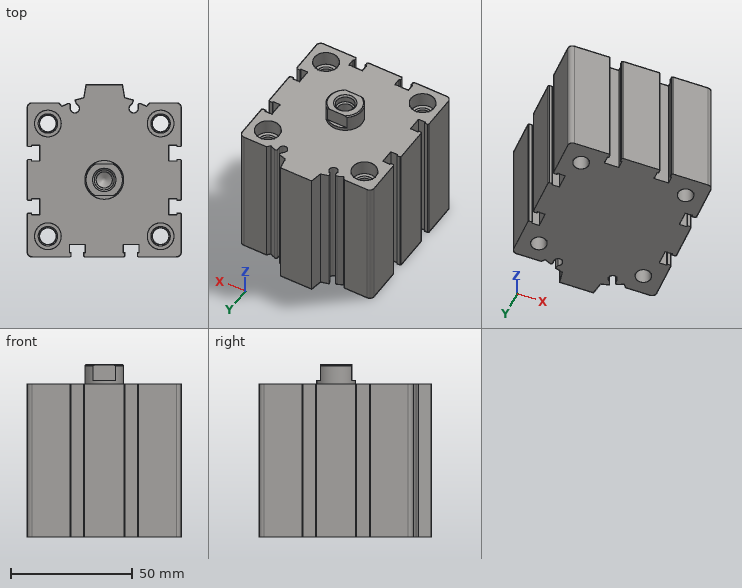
import cadquery as cq
import math

body_width = 63.5
body_height = 63.0
half_width = body_width / 2
corner_radius = 2.1

slot_offset = 11.05
slot_opening = 5.2
slot_inner_width = 6.4
slot_depth = 5.1
slot_lip = 1.8
slot_lip_chamfer = 0.4

rail_top_y = 39.25
rail_top_half_width = 7.5
rail_base_y = 33.85
rail_flank_angle = 10
shoulder_tip_x = 12.15
shoulder_angle = 15
shoulder_tip_radius = 0.4

groove_radius = 1.85
groove_x = 12.1
groove_y = 29.45
groove_flank_angle = 22
ridge_radius = 0.75
ridge_top_y = 31.5
ridge_angle = 24
notch_x = 17.5
notch_edge_x = 18.7

hole_offset = 23.2
hole_diameter = 6.8
hole_countersink_diameter = 8.0
counterbore_diameter = 11.0
counterbore_depth = 6.8

rod_diameter = 16.0
rod_projection = 8.0
rod_seat_depth = 20.0
rod_top = body_height + rod_projection
rod_bottom = body_height - rod_seat_depth
rod_chamfer = 0.5
flat_width = 13.0
flat_length = 6.5

rod_mouth_diameter = 9.6
rod_relief_diameter = 8.2
rod_relief_depth = 3.4
rod_thread_diameter = 6.65
rod_thread_depth = 13.0
drill_half_angle = 60


def tan_deg(angle):
    return math.tan(math.radians(angle))


def rail_section():
    """Rail and the solid strip under it, symmetric about X = 0."""
    base_x = rail_top_half_width + (rail_top_y - rail_base_y) * tan_deg(rail_flank_angle)
    tip_y = rail_base_y - (shoulder_tip_x - base_x) * tan_deg(shoulder_angle)
    root_x = shoulder_tip_x - (tip_y - groove_y) * tan_deg(groove_flank_angle)
    right_side = [
        (rail_top_half_width, rail_top_y),
        (base_x, rail_base_y),
        (shoulder_tip_x, tip_y),
        (root_x, groove_y),
    ]
    left_side = [(-x, y) for x, y in reversed(right_side)]
    rail = cq.Workplane("XY").polyline(right_side + left_side).close().extrude(body_height)
    margin = shoulder_tip_radius / 2
    tip_edges = cq.selectors.BoxSelector(
        (-shoulder_tip_x - margin, tip_y - margin, 0),
        (shoulder_tip_x + margin, tip_y + margin, body_height),
    )
    return rail.edges("|Z").edges(tip_edges).fillet(shoulder_tip_radius)


def rail_clearance(side):
    """Open space beside the rail on one side (+1 or -1): groove, rounded ridge and V-notch."""
    wall_x = groove_x + groove_radius
    ridge_x = wall_x + ridge_radius
    ridge_end_x = ridge_x + ridge_radius * math.sin(math.radians(ridge_angle))
    ridge_center_y = ridge_top_y - ridge_radius
    ridge_end_y = ridge_center_y + ridge_radius * math.cos(math.radians(ridge_angle))
    notch_y = ridge_end_y - (notch_x - ridge_end_x) * tan_deg(ridge_angle)
    return (
        cq.Workplane("XY")
        .moveTo(0, groove_y)
        .lineTo(side * wall_x, groove_y)
        .lineTo(side * wall_x, ridge_center_y)
        .threePointArc(
            (
                side * (ridge_x - ridge_radius * math.sqrt(0.5)),
                ridge_center_y + ridge_radius * math.sqrt(0.5),
            ),
            (side * ridge_end_x, ridge_end_y),
        )
        .lineTo(side * notch_x, notch_y)
        .lineTo(side * notch_edge_x, half_width)
        .lineTo(0, half_width)
        .close()
        .extrude(body_height)
    )


def t_slot():
    """Cutter for one T-slot opening toward -Y, centred on X = 0."""
    half_opening = slot_opening / 2
    half_inner = slot_inner_width / 2
    lip_y = slot_lip - half_width
    right_side = [
        (half_opening + slot_lip_chamfer, -half_width),
        (half_opening, slot_lip_chamfer - half_width),
        (half_opening, lip_y),
        (half_inner, lip_y),
        (half_inner, slot_depth - half_width),
    ]
    left_side = [(-x, y) for x, y in reversed(right_side)]
    return cq.Workplane("XY").polyline(right_side + left_side).close().extrude(body_height)


def mounting_hole():
    """Cutter for one counterbored through hole on the Z axis."""
    floor_z = body_height - counterbore_depth
    hole_radius = hole_diameter / 2
    sink_radius = hole_countersink_diameter / 2
    return (
        cq.Workplane("XZ")
        .lineTo(hole_radius, 0)
        .lineTo(hole_radius, floor_z - (sink_radius - hole_radius))
        .lineTo(sink_radius, floor_z)
        .lineTo(counterbore_diameter / 2, floor_z)
        .lineTo(counterbore_diameter / 2, body_height)
        .lineTo(0, body_height)
        .close()
        .revolve(360, (0, 0), (0, 1))
    )


def make_housing():
    housing = (
        cq.Workplane("XY")
        .rect(body_width, body_width)
        .extrude(body_height)
        .edges("|Z")
        .fillet(corner_radius)
    )
    for side in (-1, 1):
        housing = housing.cut(rail_clearance(side))
    housing = housing.union(rail_section())
    for side in (-1, 1):
        groove = cq.Workplane("XY").center(side * groove_x, groove_y).circle(groove_radius)
        housing = housing.cut(groove.extrude(body_height))
    for face_angle in (-90, 0, 90):
        for offset in (-slot_offset, slot_offset):
            slot = t_slot().translate((offset, 0, 0))
            housing = housing.cut(slot.rotate((0, 0, 0), (0, 0, 1), face_angle))
    for x in (-hole_offset, hole_offset):
        for y in (-hole_offset, hole_offset):
            housing = housing.cut(mounting_hole().translate((x, y, 0)))
    rod_seat = cq.Workplane("XY").workplane(offset=rod_bottom).circle(rod_diameter / 2)
    return housing.cut(rod_seat.extrude(rod_seat_depth))


def rod_hole():
    """Cutter for the stepped hole in the rod end, with a drill-point bottom."""
    mouth_radius = rod_mouth_diameter / 2
    relief_radius = rod_relief_diameter / 2
    thread_radius = rod_thread_diameter / 2
    relief_z = rod_top - rod_relief_depth
    step_height = (relief_radius - thread_radius) / tan_deg(drill_half_angle)
    thread_z = rod_top - rod_thread_depth
    return (
        cq.Workplane("XZ")
        .moveTo(0, rod_top)
        .lineTo(mouth_radius, rod_top)
        .lineTo(relief_radius, rod_top - (mouth_radius - relief_radius))
        .lineTo(relief_radius, relief_z)
        .lineTo(thread_radius, relief_z - step_height)
        .lineTo(thread_radius, thread_z)
        .lineTo(0, thread_z - thread_radius / tan_deg(drill_half_angle))
        .close()
        .revolve(360, (0, 0), (0, 1))
    )


def make_rod():
    rod = (
        cq.Workplane("XY")
        .workplane(offset=rod_bottom)
        .circle(rod_diameter / 2)
        .extrude(rod_top - rod_bottom)
        .faces(">Z")
        .chamfer(rod_chamfer)
    )
    flat_depth = (rod_diameter - flat_width) / 2
    for side in (-1, 1):
        flat_cut = cq.Workplane("XY").box(rod_diameter, flat_depth, flat_length)
        flat_y = side * (flat_width + flat_depth) / 2
        rod = rod.cut(flat_cut.translate((0, flat_y, rod_top - flat_length / 2)))
    return rod.cut(rod_hole())


housing = make_housing()
rod = make_rod()
result = cq.Compound.makeCompound([housing.val(), rod.val()])